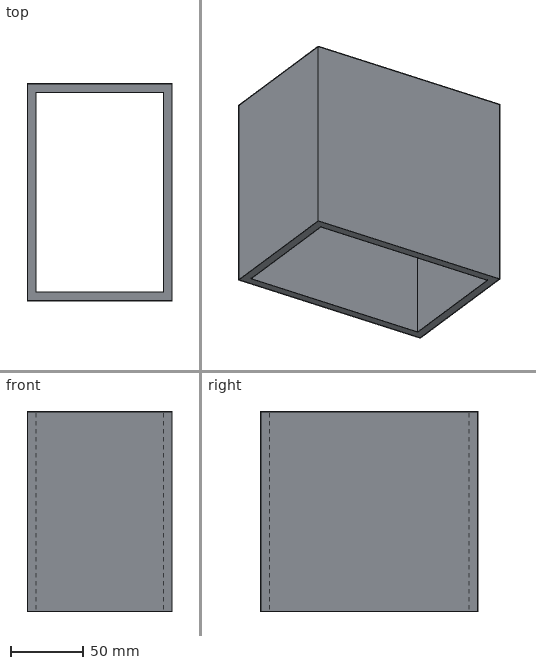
import cadquery as cq

width = 100.0
length = 150.0
height = 138.2
wall = 6.2

outer_block = cq.Workplane("XY").box(width, length, height)
opening = cq.Workplane("XY").box(width - 2 * wall, length - 2 * wall, height)

result = outer_block.cut(opening)